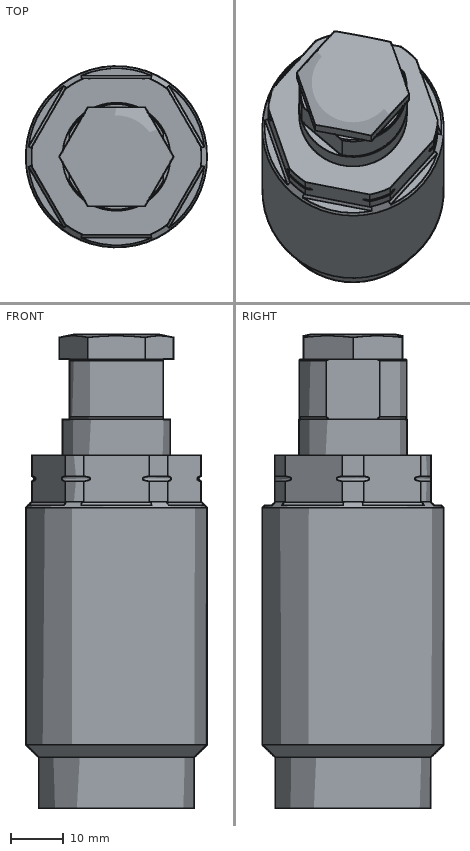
import cadquery as cq
import math

base_top = 9.8
body_bottom = 12.2
body_top = 57.7
shoulder_z = 58.2
groove_z = 63.25
nut_top = 67.8
boss_top = 74.6
neck_top = 86.2
total_height = 91

base_radius = 29.9 / 2
body_radius = 34.9 / 2
nut_corner_radius = 16.3
boss_radius = 10.4
neck_radius = boss_radius

nut_across_flats = 30
nut_foot_chamfer = 0.55
groove_radius = 0.5

neck_across_flats = 18.0
neck_edge_chamfer = 0.3
neck_foot_height = 0.55

cap_across_flats = 19.0
cap_face_radius = 7.9
cap_corner_drop = 0.6


def hexagon(across_flats, bottom, top):
    """Hexagonal prism with two corners on the X axis."""
    across_corners = across_flats / math.cos(math.pi / 6)
    return cq.Workplane("XY").workplane(offset=bottom).polygon(6, across_corners).extrude(top - bottom)


def revolved(points):
    """Solid of revolution about Z from a radius-height outline."""
    return cq.Workplane("XZ").polyline(points).close().revolve(360, (0, 0), (0, 1))


def make_body():
    """Stepped cylinder whose upper shoulder slopes inward to the nut's corners."""
    shoulder_slope_top = body_top + body_radius - nut_corner_radius
    return revolved([
        (0, 0),
        (base_radius, 0),
        (base_radius, base_top),
        (body_radius, body_bottom),
        (body_radius, body_top),
        (nut_corner_radius, shoulder_slope_top),
        (nut_corner_radius, nut_top),
        (0, nut_top),
    ])


def make_nut_flats_cutter():
    """Ring that leaves six flats with a sloping foot above the shoulder."""
    kept_hexagon = hexagon(nut_across_flats, shoulder_z, nut_top)
    foot_across_corners = (nut_across_flats + 2 * nut_foot_chamfer) / math.cos(math.pi / 6)
    foot_plane = cq.Workplane("XY").workplane(offset=shoulder_z)
    sloping_foot = foot_plane.polygon(6, foot_across_corners).extrude(nut_foot_chamfer, taper=45)
    ring = foot_plane.circle(2 * body_radius).extrude(nut_top - shoulder_z)
    return ring.cut(kept_hexagon).cut(sloping_foot)


def make_groove():
    """Round-bottomed ring groove around the rounded nut corners."""
    return cq.Workplane("XZ").center(nut_corner_radius, groove_z).circle(groove_radius).revolve(
        360, (-nut_corner_radius, 0), (-nut_corner_radius, 1)
    )


def make_neck():
    """Turned neck with chamfered ends and two opposite wrench flats."""
    edge_radius = neck_radius - neck_edge_chamfer
    neck = revolved([
        (0, boss_top),
        (edge_radius, boss_top),
        (neck_radius, boss_top + neck_foot_height),
        (neck_radius, neck_top - neck_edge_chamfer),
        (edge_radius, neck_top),
        (0, neck_top),
    ])
    height = neck_top - boss_top
    flats = cq.Workplane("XY").workplane(offset=boss_top + height / 2).box(
        neck_across_flats, 2 * neck_radius, height
    )
    return neck.intersect(flats)


def make_cap():
    """Hexagonal cap trimmed by a shallow cone around its flat top face."""
    corner_radius = cap_across_flats / 2 / math.cos(math.pi / 6)
    cone_trim = revolved([
        (0, neck_top),
        (corner_radius, neck_top),
        (corner_radius, total_height - cap_corner_drop),
        (cap_face_radius, total_height),
        (0, total_height),
    ])
    return hexagon(cap_across_flats, neck_top, total_height).intersect(cone_trim)


boss = cq.Workplane("XY").workplane(offset=nut_top).circle(boss_radius).extrude(boss_top - nut_top)
lower_part = make_body().cut(make_nut_flats_cutter()).cut(make_groove())
result = lower_part.union(boss).union(make_neck()).union(make_cap())